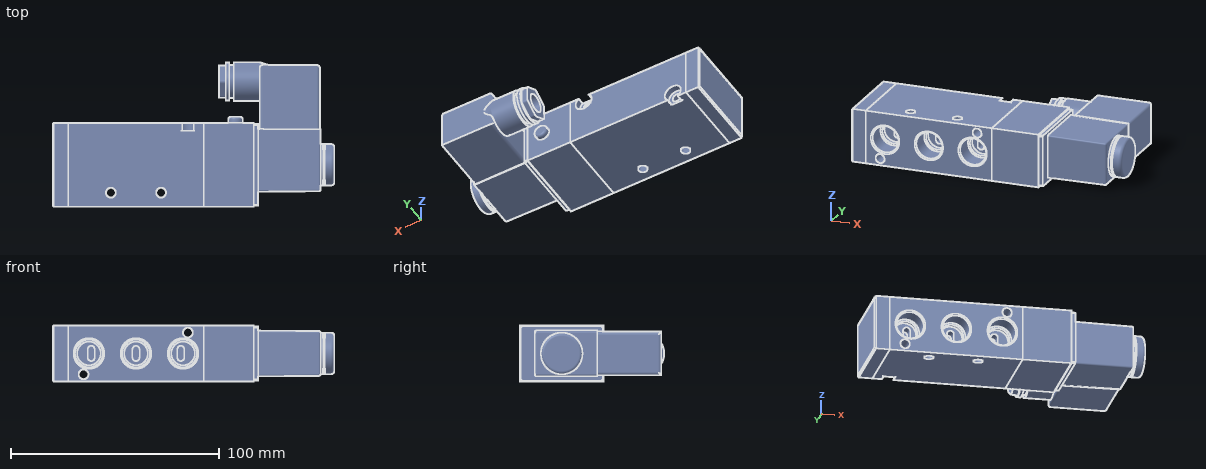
import cadquery as cq


valve_depth = 40.2
valve_height = 27.0
mid_y = valve_depth / 2
mid_z = valve_height / 2

cap_end = 7.4
body_end = 72.3
pilot_end = 96.3
plate_end = 98.3
coil_end = 128.3
total_length = 134.9

cap_chamfer = 0.7

port_x = 39.9
port_spacing = 22.5
port_diameter = 13.4
port_chamfer = 0.7
port_depth = 10.8
core_diameter = 11.3
core_depth = 13.5
slot_spacing = 21.5
slot_width = 3.4
slot_length = 7.3

mount_diameter = 4.6
cross_hole_margin = 3.5
cross_hole_places = [(14.8, cross_hole_margin), (64.8, valve_height - cross_hole_margin)]
counterbore_diameter = 8.9
counterbore_depth = 3.8
vertical_hole_x = [27.9, 52.0]
vertical_hole_y = 6.7

plate_inset = 0.5
plate_corner_chamfer = 0.5
button_x = 87.5
button_diameter = 7.0
button_height = 3.0
button_fillet = 1.3

coil_y_min = 7.1
coil_y_max = 37.2
coil_height = 22.0
coil_draft = 0.4
coil_fillet = 1.0

nut_radius = 10.0
nut_flange_end = 129.5
nut_groove_end = 130.3
nut_groove_radius = 7.3
nut_fillet = 1.6

plug_x_min = 99.2
plug_x_max = 128.0
plug_y_max = 67.9
plug_overlap = 1.3
plug_root_y = coil_y_max - plug_overlap
plug_height = 21.0
plug_front_fillet = 1.3
plug_rear_fillet = 1.6

gland_y = 59.9
gland_radius = 9.3
gland_start = 86.6
gland_cone_end = 104.1
gland_cone_radius = 7.8
neck_radius = 8.0
collar_start = 82.8
collar_end = 84.6
collar_radius = 9.2
hex_start = 79.6
hex_across_flats = 15.5
hex_edge_fillet = 1.6
gland_bore_diameter = 9.5


def block(x_min, x_max, y_min, y_max, height):
    """Box between the given X and Y limits, centred on the valve's mid height."""
    return (
        cq.Workplane("XY")
        .box(x_max - x_min, y_max - y_min, height, centered=(False, False, True))
        .translate((x_min, y_min, mid_z))
    )


def rod_along_x(x_min, x_max, y, radius):
    """Round rod along X at mid height."""
    return cq.Workplane("YZ", origin=(x_min, y, mid_z)).circle(radius).extrude(x_max - x_min)


def plane_facing_back(x, y, z):
    """Workplane whose local axes are X and Z and whose extrusions run toward +Y."""
    return cq.Workplane(cq.Plane(origin=(x, y, z), xDir=(1, 0, 0), normal=(0, 1, 0)))


def make_end_cap():
    cap = block(0, cap_end, 0, valve_depth, valve_height)
    return cap.faces("<X").chamfer(cap_chamfer)


def port_cutter(step):
    """Chamfered thread bore, smaller core and air slot; step counts ports from the middle one."""
    x = port_x + step * port_spacing
    slot_x = port_x + step * slot_spacing
    mouth_radius = port_diameter / 2 + port_chamfer
    bore = plane_facing_back(x, 0, mid_z).circle(port_diameter / 2).extrude(port_depth)
    mouth = cq.Workplane(
        cq.Solid.makeCone(
            mouth_radius,
            port_diameter / 2,
            port_chamfer,
            pnt=cq.Vector(x, 0, mid_z),
            dir=cq.Vector(0, 1, 0),
        )
    )
    core = plane_facing_back(x, 0, mid_z).circle(core_diameter / 2).extrude(core_depth)
    slot = plane_facing_back(slot_x, 0, mid_z).slot2D(slot_length, slot_width, 90).extrude(mid_y)
    return bore.union(mouth).union(core).union(slot)


def cross_hole_cutter(x, z):
    """Mounting hole along Y, counterbored from the +Y side."""
    hole = plane_facing_back(x, 0, z).circle(mount_diameter / 2).extrude(valve_depth)
    counterbore = (
        plane_facing_back(x, valve_depth - counterbore_depth, z)
        .circle(counterbore_diameter / 2)
        .extrude(counterbore_depth)
    )
    return hole.union(counterbore)


def vertical_hole_cutter(x):
    return (
        cq.Workplane("XY", origin=(x, vertical_hole_y, 0))
        .circle(mount_diameter / 2)
        .extrude(valve_height)
    )


def make_valve_body():
    body = block(cap_end, body_end, 0, valve_depth, valve_height)
    for step in (-1, 0, 1):
        body = body.cut(port_cutter(step))
    for x, z in cross_hole_places:
        body = body.cut(cross_hole_cutter(x, z))
    for x in vertical_hole_x:
        body = body.cut(vertical_hole_cutter(x))
    return body


def make_pilot_block():
    """Pilot block with its end plate and the manual override button on its +Y side."""
    pilot = block(body_end, pilot_end, 0, valve_depth, valve_height)
    plate = block(
        pilot_end, plate_end, plate_inset, valve_depth - plate_inset, valve_height - 2 * plate_inset
    )
    plate = plate.edges("|X").chamfer(plate_corner_chamfer)
    button = (
        plane_facing_back(button_x, valve_depth, mid_z)
        .circle(button_diameter / 2)
        .extrude(button_height)
        .faces(">Y")
        .edges()
        .fillet(button_fillet)
    )
    return pilot.union(plate).union(button)


def make_coil():
    coil_mid_y = (coil_y_min + coil_y_max) / 2
    coil = (
        cq.Workplane("YZ", origin=(plate_end, coil_mid_y, mid_z))
        .rect(coil_y_max - coil_y_min, coil_height)
        .extrude(coil_end - plate_end, taper=coil_draft)
    )
    rear_edges = coil.faces(">X").edges("|Y or <Y")
    lower_edges = coil.faces("<Y").edges(">Z or <Z")
    return coil.newObject(rear_edges.vals() + lower_edges.vals()).fillet(coil_fillet)


def make_nut():
    flange = rod_along_x(coil_end, nut_flange_end, mid_y, nut_radius)
    groove = rod_along_x(nut_flange_end, nut_groove_end, mid_y, nut_groove_radius)
    knob = rod_along_x(nut_groove_end, total_length, mid_y, nut_radius)
    knob = knob.faces(">X").edges().fillet(nut_fillet)
    return flange.union(groove).union(knob)


def make_plug():
    plug = block(plug_x_min, plug_x_max, plug_root_y, plug_y_max, plug_height)
    plug = plug.faces("<X").edges("|Y or >Y").fillet(plug_front_fillet)
    return plug.faces(">X").edges("|Y or >Y").fillet(plug_rear_fillet)


def make_gland():
    """Hexagon, collar, neck and barrel; the barrel ends in a cone that runs into the plug."""
    hexagon = (
        cq.Workplane("YZ", origin=(hex_start, gland_y, mid_z))
        .polygon(6, hex_across_flats, circumscribed=True)
        .extrude(collar_start - hex_start)
        .edges("|X")
        .fillet(hex_edge_fillet)
    )
    collar = rod_along_x(collar_start, collar_end, gland_y, collar_radius)
    neck = rod_along_x(collar_end, gland_start, gland_y, neck_radius)
    barrel = rod_along_x(gland_start, plug_x_min, gland_y, gland_radius)
    cone = cq.Workplane(
        cq.Solid.makeCone(
            gland_radius,
            gland_cone_radius,
            gland_cone_end - plug_x_min,
            pnt=cq.Vector(plug_x_min, gland_y, mid_z),
            dir=cq.Vector(1, 0, 0),
        )
    )
    return hexagon.union(collar).union(neck).union(barrel).union(cone)


def make_solenoid():
    solenoid = make_coil().union(make_nut()).union(make_plug()).union(make_gland())
    gland_bore = rod_along_x(hex_start, plug_x_min, gland_y, gland_bore_diameter / 2)
    return solenoid.cut(gland_bore)


end_cap = make_end_cap()
valve_body = make_valve_body()
pilot_block = make_pilot_block()
solenoid = make_solenoid()

result = cq.Compound.makeCompound(
    [end_cap.val(), valve_body.val(), pilot_block.val(), solenoid.val()]
)